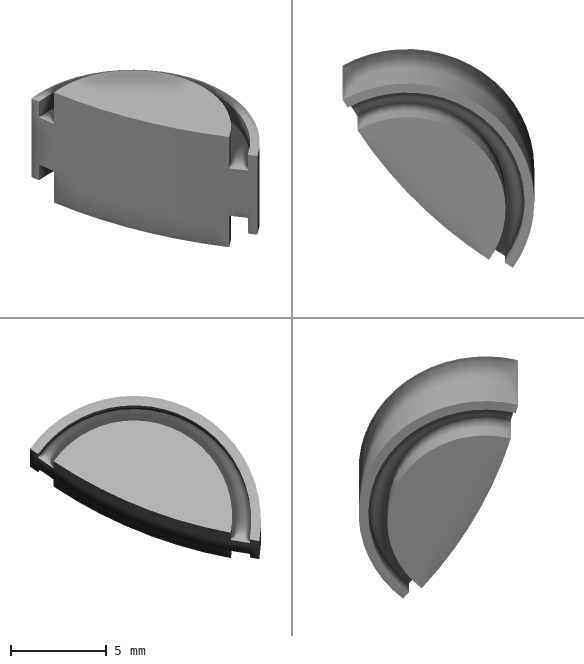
import cadquery as cq
import math

width = 12.93
depth = 6.0
rim_radius = 6.63
rim_thickness = 0.5
groove_width = 1.0
height = 7.0
rim_half_height = 2.5
groove_floor_height = 1.5

groove_outer_radius = rim_radius - rim_thickness
core_radius = groove_outer_radius - groove_width
core_half_height = height / 2
front_y = rim_radius - depth

end_angle = math.acos(width / 2 / rim_radius)


def end_point(radius, side):
    """Point on a radial end line; side is 1 for +X and -1 for -X."""
    return (side * radius * math.cos(end_angle), radius * math.sin(end_angle))


def make_core():
    """Lens-shaped prism with a round back and a shallow arched front."""
    return (
        cq.Workplane("XY")
        .moveTo(*end_point(core_radius, -1))
        .threePointArc((0, core_radius), end_point(core_radius, 1))
        .threePointArc((0, front_y), end_point(core_radius, -1))
        .close()
        .extrude(core_half_height)
    )


def make_band(outer_radius, bottom, top):
    """Arc-shaped band around the core, cut off flat along the radial end lines."""
    return (
        cq.Workplane("XY")
        .workplane(offset=bottom)
        .moveTo(*end_point(outer_radius, -1))
        .threePointArc((0, outer_radius), end_point(outer_radius, 1))
        .lineTo(*end_point(core_radius, 1))
        .threePointArc((0, core_radius), end_point(core_radius, -1))
        .close()
        .extrude(top - bottom)
    )


def make_upper_half():
    """Tall core with a rim around its back and a groove between the two."""
    rim = make_band(rim_radius, 0, rim_half_height)
    groove = make_band(groove_outer_radius, groove_floor_height, rim_half_height)
    return rim.cut(groove).union(make_core()).solids()


def make_lower_half():
    """Mirror image of the upper half, meeting it at Z = 0."""
    return make_upper_half().mirror("XY").solids()


upper_half = make_upper_half()
lower_half = make_lower_half()

result = cq.Compound.makeCompound([upper_half.val(), lower_half.val()])